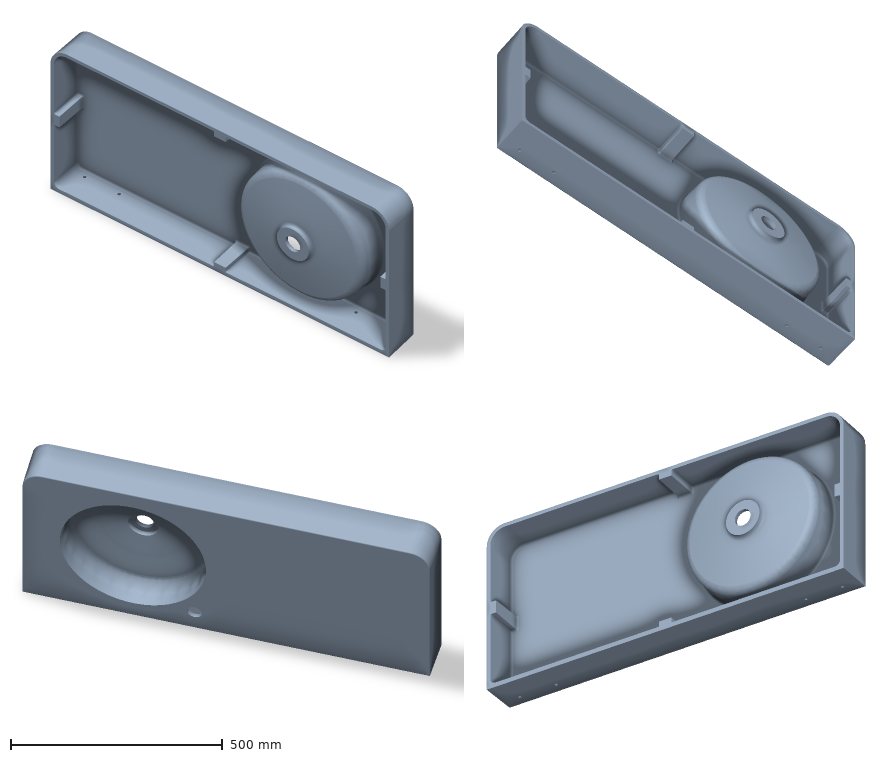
import cadquery as cq
import math

LENGTH = 1000.0
HEIGHT = 450.0
DEPTH = 100.0
WALL = 10.0
BOTTOM_WALL = 12.0
DECK = 10.0
DRAFT_ANGLE = 1.0
TOP_CORNER_RADIUS = 50.0
INNER_BOTTOM_RADIUS = 15.0
DECK_EDGE_RADIUS = 3.0
INNER_EDGE_RADIUS = 6.0

RIB_WIDTH = 34.0
RIB_DEPTH = 26.0
RIB_EDGE_RADIUS = 4.0

BOWL_X = 228.0
BOWL_TOP_RADIUS = 188.0
BOWL_SIDE_DRAFT = 4.0
DOME_RADIUS = 800.0
DOME_TIP_Y = -6.0
BOWL_EDGE_RADIUS = 20.0
BOWL_ROOT_RADIUS = 6.0
BOWL_WALL = 10.0

BOSS_RADIUS = 47.0
BOSS_END_Y = -17.0
BOSS_ROOT_RADIUS = 8.0
BOSS_WALL = 10.0
DRAIN_RADIUS = 22.0

TAP_X = 77.0
TAP_Z = -165.0
TAP_RADIUS = 18.0

PIN_HOLE_XS = (-452.0, -350.0, 350.0, 452.0)
PIN_HOLE_Y = 70.0
PIN_HOLE_RADIUS = 4.0

OVERLAP = 5.0

INNER_DECK_Y = DEPTH - DECK
HALF_LENGTH = LENGTH / 2
HALF_HEIGHT = HEIGHT / 2


def rounded_outline(left, right, bottom, top, top_radius):
    """Rectangle on the rim plane with both upper corners rounded."""
    bend = top_radius * (1 - math.sqrt(0.5))
    return (
        cq.Workplane("XZ")
        .moveTo(left, bottom)
        .lineTo(right, bottom)
        .lineTo(right, top - top_radius)
        .threePointArc((right - bend, top - bend), (right - top_radius, top))
        .lineTo(left + top_radius, top)
        .threePointArc((left + bend, top - bend), (left, top - top_radius))
        .close()
    )


def drafted_box():
    """Outer block, tapering toward the deck."""
    outline = rounded_outline(-HALF_LENGTH, HALF_LENGTH, -HALF_HEIGHT, HALF_HEIGHT, TOP_CORNER_RADIUS)
    return outline.extrude(-DEPTH, taper=DRAFT_ANGLE).faces(">Y").edges().fillet(DECK_EDGE_RADIUS)


def ribs():
    """Bars along Y that straddle the inner faces of the four walls."""
    places = (
        (RIB_DEPTH / 2 - HALF_LENGTH, 0, RIB_DEPTH, RIB_WIDTH),
        (HALF_LENGTH - RIB_DEPTH / 2, 0, RIB_DEPTH, RIB_WIDTH),
        (0, HALF_HEIGHT - RIB_DEPTH / 2, RIB_WIDTH, RIB_DEPTH),
        (0, RIB_DEPTH / 2 - HALF_HEIGHT, RIB_WIDTH, RIB_DEPTH),
    )
    return [
        cq.Workplane("XZ").center(x, z).rect(width, height).extrude(-DEPTH, taper=-DRAFT_ANGLE)
        for x, z, width, height in places
    ]


def near(x, z, reach):
    """Selector for edges centred within a square bar along Y, clear of the rim and deck faces."""
    return cq.selectors.BoxSelector(
        (x - reach, OVERLAP, z - reach),
        (x + reach, INNER_DECK_Y - OVERLAP, z + reach),
    )


def cavity():
    """Hollow of the tray, with the ribs left standing and its corners rounded."""
    right = HALF_LENGTH - WALL
    top = HALF_HEIGHT - WALL
    bottom = BOTTOM_WALL - HALF_HEIGHT
    hollow = rounded_outline(-right, right, bottom, top, TOP_CORNER_RADIUS - WALL)
    hollow = hollow.extrude(-INNER_DECK_Y, taper=DRAFT_ANGLE)
    for corner_x in (-right, right):
        hollow = hollow.edges(near(corner_x, bottom, WALL)).fillet(INNER_BOTTOM_RADIUS)
    for bar in ribs():
        hollow = hollow.cut(bar)
    for x, z in ((-right, 0), (right, 0), (0, top), (0, bottom)):
        hollow = hollow.edges(near(x, z, RIB_WIDTH)).fillet(RIB_EDGE_RADIUS)
    return hollow.faces(">Y").edges().fillet(INNER_EDGE_RADIUS)


def dome_y(radius, sphere_radius=DOME_RADIUS):
    """Y of the dome surface at a distance from the bowl axis."""
    return DOME_TIP_Y + DOME_RADIUS - math.sqrt(sphere_radius**2 - radius**2)


def ring(y, radius):
    """Selector for a circular edge around the bowl axis."""
    reach = radius + OVERLAP
    tolerance = 1.0
    return cq.selectors.BoxSelector(
        (BOWL_X - reach, y - tolerance, -reach),
        (BOWL_X + reach, y + tolerance, reach),
        boundingbox=True,
    )


def bowl_body(inset, end_y):
    """Solid bowl shape shrunk inward by an inset, reaching from the dome up to end_y."""
    sphere_radius = DOME_RADIUS - inset
    slope = math.tan(math.radians(BOWL_SIDE_DRAFT))
    deck_radius = BOWL_TOP_RADIUS - inset
    end_radius = deck_radius + (end_y - INNER_DECK_Y) * slope

    side_start = deck_radius - INNER_DECK_Y * slope
    centre_y = DOME_TIP_Y + DOME_RADIUS
    a = 1 + slope**2
    b = slope * side_start - centre_y
    c = side_start**2 + centre_y**2 - sphere_radius**2
    lip_y = (-b - math.sqrt(b**2 - a * c)) / a
    lip_radius = side_start + slope * lip_y

    middle = lip_radius / 2
    profile = (
        cq.Workplane("XY", origin=(BOWL_X, 0, 0))
        .moveTo(0, dome_y(0, sphere_radius))
        .threePointArc((middle, dome_y(middle, sphere_radius)), (lip_radius, lip_y))
        .lineTo(end_radius, end_y)
        .lineTo(0, end_y)
        .close()
    )
    body = profile.revolve(360, (0, 0, 0), (0, 1, 0))
    return body.edges(ring(lip_y, lip_radius)).fillet(BOWL_EDGE_RADIUS - inset)


def along_y(x, z, radius, start_y, end_y):
    """Cylinder parallel to Y."""
    return cq.Workplane("XZ", origin=(x, start_y, z)).circle(radius).extrude(start_y - end_y)


tray = drafted_box().cut(cavity())

tray = tray.union(bowl_body(0, DEPTH - OVERLAP))
tray = tray.edges(ring(INNER_DECK_Y, BOWL_TOP_RADIUS)).fillet(BOWL_ROOT_RADIUS)
tray = tray.union(along_y(BOWL_X, 0, BOSS_RADIUS, BOSS_END_Y, DOME_TIP_Y + BOWL_WALL))
tray = tray.edges(ring(dome_y(BOSS_RADIUS), BOSS_RADIUS)).fillet(BOSS_ROOT_RADIUS)

tray = tray.cut(bowl_body(BOWL_WALL, DEPTH + OVERLAP))
tray = tray.cut(along_y(BOWL_X, 0, BOSS_RADIUS - BOSS_WALL, BOSS_END_Y + BOSS_WALL, DEPTH))
tray = tray.cut(along_y(BOWL_X, 0, DRAIN_RADIUS, BOSS_END_Y - OVERLAP, DEPTH))

tray = tray.cut(along_y(TAP_X, TAP_Z, TAP_RADIUS, INNER_DECK_Y - OVERLAP, DEPTH + OVERLAP))
for pin_x in PIN_HOLE_XS:
    pin = cq.Workplane("XY", origin=(pin_x, PIN_HOLE_Y, -HALF_HEIGHT - OVERLAP)).circle(PIN_HOLE_RADIUS)
    tray = tray.cut(pin.extrude(BOTTOM_WALL + 2 * OVERLAP))

result = tray